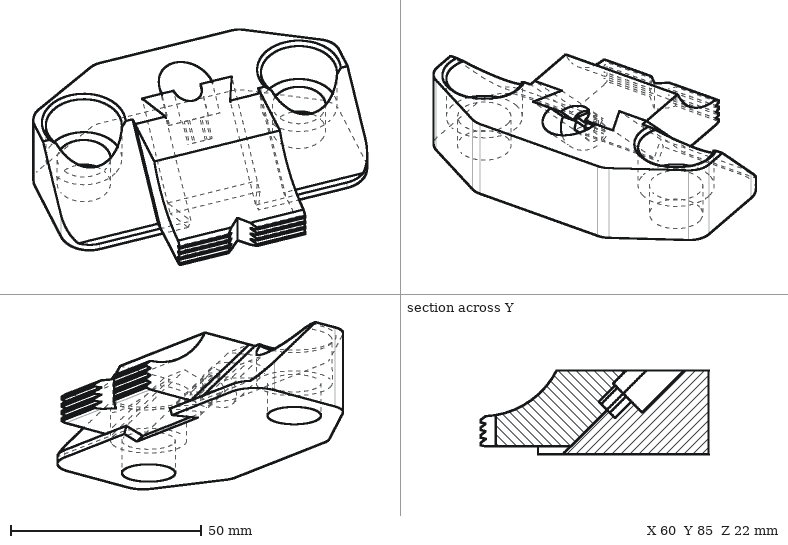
import cadquery as cq
import math

BASE_LENGTH = 45.0
BASE_WIDTH = 85.0
HEIGHT = 22.0
BACK_HALF_WIDTH = 20.0
BACK_TAPER_ANGLE = 60.0
BACK_RADIUS = 6.0
FRONT_RADIUS = 8.0

TOE_HEIGHT = 2.0
RAMP_RUN = HEIGHT - TOE_HEIGHT
PAD_TOP_X = BASE_LENGTH - RAMP_RUN
PAD_RISE = 1.95
RAMP_TOP_X = PAD_TOP_X - PAD_RISE
JAW_WIDTH = 35.0

MOUNT_X = 20.0
MOUNT_SPACING = 60.0
MOUNT_DIAMETER = 14.0
COUNTERBORE_DIAMETER = 20.0
COUNTERBORE_DEPTH = 13.0
RIM_CHAMFER = 1.0

DOVETAIL_DEPTH = 6.0
DOVETAIL_NECK_WIDTH = 18.0
DOVETAIL_FLANK_ANGLE = 30.0
DOVETAIL_BACK_X = PAD_TOP_X - DOVETAIL_DEPTH * math.sqrt(2)

BASE_BORE_DIAMETER = 14.0
BORE_DEPTH = 8.6
JAW_BORE_DIAMETER = 7.5
SCREW_AXIS = cq.Vector(1, 0, -1).normalized()
SCREW_START = cq.Vector(DOVETAIL_BACK_X, 0, HEIGHT)
BORE_OVERRUN = HEIGHT
SOCKET_ACROSS_FLATS = 5.7
SOCKET_DEPTH = 6.0
SOCKET_TURN = -11.0

JAW_TIP_X = 60.0
JAW_TOP_END_X = 40.0
TOOTH_DEPTH = 1.4
TOOTH_ROOT_X = JAW_TIP_X - TOOTH_DEPTH
TOOTH_COUNT = 4
JAW_NOSE_HEIGHT = 8.0
TOOTH_PITCH = JAW_NOSE_HEIGHT / TOOTH_COUNT
TOOTH_SLANT = 1.0
TOOTH_TIP_FLAT = 0.7
SCOOP_RADIUS = 22.0
NOTCH_DEPTH = 4.0


def side_profile(points, width):
    """Extrude an XZ outline by width, centred on Y = 0."""
    return cq.Workplane("XZ").polyline(points).close().extrude(width / 2, both=True)


def screw_access(diameter):
    """Round bore down to BORE_DEPTH along the screw axis, with the hexagonal socket below it."""
    bore_start = SCREW_START - SCREW_AXIS * BORE_OVERRUN
    bore = cq.Workplane(cq.Solid.makeCylinder(
        diameter / 2, BORE_OVERRUN + BORE_DEPTH, bore_start, SCREW_AXIS
    ))
    floor = cq.Plane(
        origin=SCREW_START + SCREW_AXIS * BORE_DEPTH,
        xDir=cq.Vector(-1, 0, -1),
        normal=SCREW_AXIS,
    )
    corner_diameter = SOCKET_ACROSS_FLATS / math.cos(math.radians(30))
    socket = (
        cq.Workplane(floor)
        .transformed(rotate=(0, 0, SOCKET_TURN))
        .polygon(6, corner_diameter)
        .extrude(SOCKET_DEPTH)
    )
    return bore.union(socket)


def dovetail(bottom_z):
    """Dovetail prism sheared along the slope from the top face down to bottom_z."""
    neck = DOVETAIL_NECK_WIDTH / 2
    root = neck + DOVETAIL_DEPTH * math.tan(math.radians(DOVETAIL_FLANK_ANGLE))
    section = (
        cq.Workplane("XY", origin=(0, 0, HEIGHT))
        .polyline([
            (PAD_TOP_X, -neck),
            (PAD_TOP_X, neck),
            (DOVETAIL_BACK_X, root),
            (DOVETAIL_BACK_X, -root),
        ])
        .close()
    )
    drop = HEIGHT - bottom_z
    return cq.Workplane(cq.Solid.extrudeLinear(section.val(), [], cq.Vector(drop, 0, -drop)))


def base_blank():
    half = BASE_WIDTH / 2
    taper_x = (half - BACK_HALF_WIDTH) / math.tan(math.radians(BACK_TAPER_ANGLE))
    blank = (
        cq.Workplane("XY")
        .polyline([
            (0, -BACK_HALF_WIDTH),
            (taper_x, -half),
            (BASE_LENGTH, -half),
            (BASE_LENGTH, half),
            (taper_x, half),
            (0, BACK_HALF_WIDTH),
        ])
        .close()
        .extrude(HEIGHT)
    )
    blank = blank.edges("|Z and >X").fillet(FRONT_RADIUS)
    return blank.edges("|Z").edges(cq.selectors.BoxSelector(
        (-0.85, -BASE_WIDTH, 0), (taper_x + 0.85, BASE_WIDTH, HEIGHT)
    )).fillet(BACK_RADIUS)


def front_cut(top_x, width):
    """Material removed above a 45 degree slope that starts at top_x, and above the toe."""
    return side_profile([
        (top_x, HEIGHT),
        (top_x + RAMP_RUN, TOE_HEIGHT),
        (JAW_TIP_X, TOE_HEIGHT),
        (JAW_TIP_X, HEIGHT),
    ], width)


def mounting_hole(y):
    through = cq.Workplane("XY").center(MOUNT_X, y).circle(MOUNT_DIAMETER / 2).extrude(HEIGHT)
    counterbore = (
        cq.Workplane("XY", origin=(MOUNT_X, y, HEIGHT))
        .circle(COUNTERBORE_DIAMETER / 2)
        .extrude(-COUNTERBORE_DEPTH)
    )
    rim_radius = COUNTERBORE_DIAMETER / 2 + RIM_CHAMFER
    rim = cq.Workplane(cq.Solid.makeCone(
        COUNTERBORE_DIAMETER / 2, rim_radius, RIM_CHAMFER,
        cq.Vector(MOUNT_X, y, HEIGHT - RIM_CHAMFER),
    ))
    return through.union(counterbore).union(rim)


def make_base():
    pad_cut = front_cut(PAD_TOP_X, JAW_WIDTH)
    pad_zone = cq.Workplane("XY").box(2 * JAW_TIP_X, JAW_WIDTH, 2 * HEIGHT)
    side_cut = front_cut(RAMP_TOP_X, BASE_WIDTH).cut(pad_zone)
    base = base_blank().cut(side_cut).cut(pad_cut).cut(dovetail(0))
    for y in (-MOUNT_SPACING / 2, MOUNT_SPACING / 2):
        base = base.cut(mounting_hole(y))
    return base.cut(screw_access(BASE_BORE_DIAMETER))


def jaw_blank():
    nose_top = TOE_HEIGHT + JAW_NOSE_HEIGHT
    outline = (
        cq.Workplane("XZ")
        .moveTo(BASE_LENGTH, TOE_HEIGHT)
        .lineTo(PAD_TOP_X, HEIGHT)
        .lineTo(JAW_TOP_END_X, HEIGHT)
        .radiusArc((TOOTH_ROOT_X, nose_top), -SCOOP_RADIUS)
    )
    for tooth in range(TOOTH_COUNT):
        root_z = nose_top - tooth * TOOTH_PITCH
        outline = (
            outline
            .lineTo(JAW_TIP_X, root_z - TOOTH_SLANT)
            .lineTo(JAW_TIP_X, root_z - TOOTH_SLANT - TOOTH_TIP_FLAT)
            .lineTo(TOOTH_ROOT_X, root_z - TOOTH_PITCH)
        )
    return outline.close().extrude(JAW_WIDTH / 2, both=True)


def make_jaw():
    notch = (
        cq.Workplane("XY")
        .polyline([
            (JAW_TIP_X - NOTCH_DEPTH, 0),
            (JAW_TIP_X, NOTCH_DEPTH),
            (JAW_TIP_X, -NOTCH_DEPTH),
        ])
        .close()
        .extrude(HEIGHT)
    )
    return jaw_blank().union(dovetail(TOE_HEIGHT)).cut(notch).cut(screw_access(JAW_BORE_DIAMETER))


base = make_base()
jaw = make_jaw()
result = cq.Compound.makeCompound([base.val(), jaw.val()])